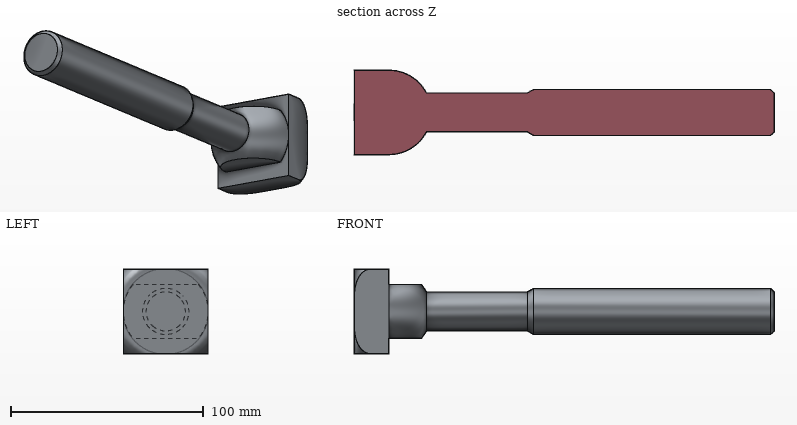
import cadquery as cq
import math


head_side = 44.0
head_height = 18.0
head_face_radius = 22.3

neck_radius = head_side / 2
neck_thickness = 28.0

total_length = 218.0
thread_length = 125.0
thread_diameter = 24.0
core_diameter = 20.32
runout_half_angle = 30.0

thread_radius = thread_diameter / 2
core_radius = core_diameter / 2
thread_depth = thread_radius - core_radius
thread_start = total_length - thread_length
runout_length = thread_depth / math.tan(math.radians(runout_half_angle))
corner_radius = head_side / math.sqrt(2)
corner_rounding = corner_radius - head_face_radius


def along_x(radius, start, length):
    """Cylinder about the X axis."""
    return cq.Workplane("YZ", origin=(start, 0, 0)).circle(radius).extrude(length)


def make_head():
    """Square block whose outer corners are rounded by a turned, filleted disc."""
    block = cq.Workplane("YZ").rect(head_side, head_side).extrude(head_height)
    rounded_disc = along_x(corner_radius, 0, head_height).faces("<X").edges().fillet(corner_rounding)
    return block.intersect(rounded_disc)


def make_neck():
    """Half ball on the head underside, limited to the slot width in Z."""
    ball = cq.Workplane("XY", origin=(head_height, 0, 0)).sphere(neck_radius)
    slab = (
        cq.Workplane("YZ", origin=(head_height, 0, 0))
        .rect(2 * neck_radius, neck_thickness)
        .extrude(neck_radius)
    )
    return ball.intersect(slab)


def make_shank():
    """Turned shank with a conical run-out to the thread and a chamfered tip."""
    profile = [
        (head_height, 0),
        (head_height, -core_radius),
        (thread_start - runout_length, -core_radius),
        (thread_start, -thread_radius),
        (total_length - thread_depth, -thread_radius),
        (total_length, -core_radius),
        (total_length, 0),
    ]
    return cq.Workplane("XY").polyline(profile).close().revolve(360, (0, 0, 0), (1, 0, 0))


result = make_head().union(make_neck()).union(make_shank())